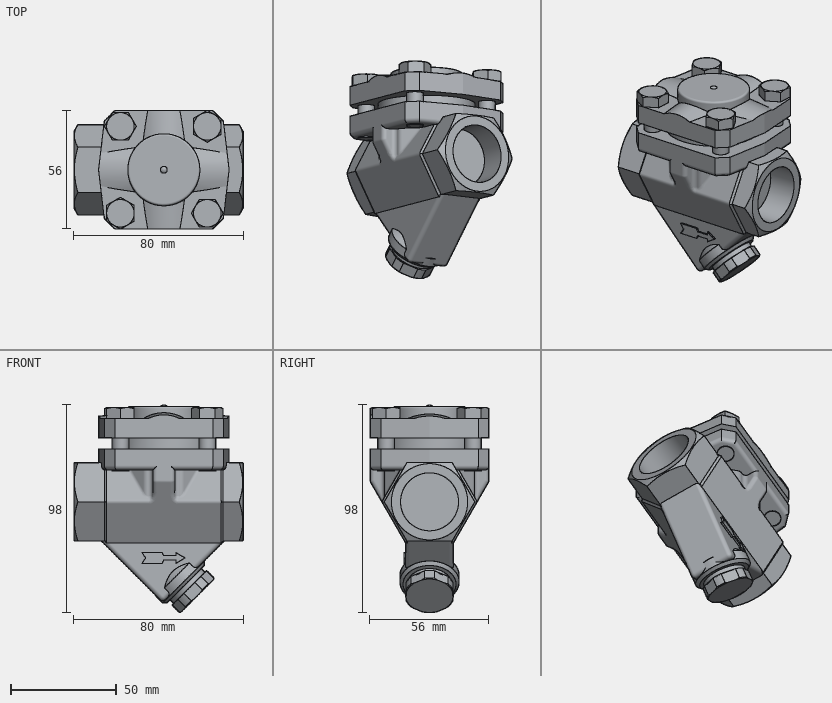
import cadquery as cq
import math


port_length = 80.0
port_center_x = -2.5
port_flats = 37.0
port_chamfer_angle = 30.0
port_face_dia = 36.0
bore_dia = 27.4
bore_depth = 14.0
body_flats = 39.0
body_half_length = 28.0
body_end_taper = 1.0

flange_half_x = 30.8
flange_corner_x = 28.1
flange_half_y = 28.0
flange_corner_cut = 5.0
body_flange_bottom = 15.0
body_flange_top = 25.0
cover_bottom = 30.2
cover_top = 39.2
spigot_dia = 45.8

web_half_width = 5.2
neck_diagonal = 30.0
neck_half_width = 21.3
neck_corner_radius = 3.0
web_root_radius = 2.1
casting_radius = 2.0

boss_dia = 34.0
boss_top = 45.0
boss_edge_radius = 1.0
nub_radius = 2.2
nub_top = 45.7
ridge_x_radius = 23.4
ridge_x_rise = 1.2
ridge_x_slope = 4.0
ridge_y_radius = 16.7
ridge_y_rise = 1.75
ridge_y_slope = 5.4

bolt_spacing = 41.0
bolt_dia = 8.0
bolt_bottom = 14.5
bolt_head_flats = 13.0
bolt_head_height = 5.3
bolt_chamfer_angle = 30.0

leg_left_offset = 48.0
leg_right_offset = 47.0
leg_top = -18.5

plug_axis_offset = -20.2
strainer_boss_dia = 28.0
strainer_boss_back = 25.0
strainer_boss_shoulder = 28.9
strainer_boss_face = 34.8
strainer_boss_chamfer = 1.5
plug_collar_dia = 21.0
plug_head_start = 37.2
plug_head_end = 42.56
plug_head_flats = 22.0
plug_head_round_dia = 23.2
plug_head_chamfer = 0.4

arrow_tail = -10.3
arrow_notch = -8.6
arrow_body_end = -0.8
arrow_shaft_start = -0.1
arrow_head_start = 5.75
arrow_tip = 10.0
arrow_center_z = -26.5
arrow_half_height = 2.55
arrow_shaft_half_height = 1.05
arrow_relief = 0.85

tolerance = 0.01

body_corner_y = body_flats / math.sqrt(3)
body_flat_half_width = body_corner_y / 2


def hex_corner_dia(flats):
    return flats / math.cos(math.radians(30))


def hex_along_x(flats, start, length):
    """Hexagonal bar along X with flats at the top and bottom."""
    return cq.Workplane("YZ", origin=(start, 0, 0)).polygon(6, hex_corner_dia(flats)).extrude(length)


def revolve_about_z(profile):
    """Turn a closed (radius, z) profile about the Z axis."""
    return cq.Workplane("XZ").polyline(profile).close().revolve(360, (0, 0, 0), (0, 1, 0))


def make_ports():
    half = port_length / 2
    corner = hex_corner_dia(port_flats) / 2
    face = port_face_dia / 2
    chamfer = (corner - face) * math.tan(math.radians(port_chamfer_angle))
    envelope = revolve_about_z([
        (0, -half), (face, -half), (corner, chamfer - half),
        (corner, half - chamfer), (face, half), (0, half),
    ]).rotate((0, 0, 0), (0, 1, 0), 90)
    bar = hex_along_x(port_flats, -half, port_length)
    return bar.intersect(envelope).translate((port_center_x, 0, 0))


def make_body_hexagon():
    straight_half = body_half_length - body_end_taper
    body = hex_along_x(body_flats, -straight_half, 2 * straight_half)
    for side in (-1, 1):
        end = (
            cq.Workplane("YZ", origin=(side * straight_half, 0, 0))
            .polygon(6, hex_corner_dia(body_flats))
            .workplane(offset=side * body_end_taper)
            .polygon(6, hex_corner_dia(port_flats))
            .loft(ruled=True)
        )
        body = body.union(end)
    return body


def make_bores():
    half = port_length / 2
    bore = cq.Workplane("YZ", origin=(-half, 0, 0)).circle(bore_dia / 2).extrude(bore_depth)
    bores = bore.union(bore.mirror("YZ"))
    return bores.translate((port_center_x, 0, 0))


def flange_plate(bottom, top):
    cut_x = flange_corner_x - flange_corner_cut
    cut_y = flange_half_y - flange_corner_cut
    outline = [
        (flange_half_x, 0), (flange_corner_x, cut_y), (cut_x, flange_half_y),
        (-cut_x, flange_half_y), (-flange_corner_x, cut_y), (-flange_half_x, 0),
        (-flange_corner_x, -cut_y), (-cut_x, -flange_half_y),
        (cut_x, -flange_half_y), (flange_corner_x, -cut_y),
    ]
    return cq.Workplane("XY", origin=(0, 0, bottom)).polyline(outline).close().extrude(top - bottom)


def make_webs():
    """Cross web whose undersides continue the lower slanted faces of the body hexagon."""
    toe_z = (flange_half_y - body_corner_y) * math.tan(math.radians(60))
    section = [
        (-flange_half_y, body_flange_top), (flange_half_y, body_flange_top),
        (flange_half_y, toe_z), (body_corner_y, 0),
        (-body_corner_y, 0), (-flange_half_y, toe_z),
    ]
    return (
        cq.Workplane("YZ", origin=(-web_half_width, 0, 0))
        .polyline(section).close().extrude(2 * web_half_width)
    )


def make_neck():
    """Octagonal neck: a square turned 45 degrees with its corners cut off."""
    short = neck_diagonal - neck_half_width
    outline = [
        (neck_half_width, short), (short, neck_half_width),
        (-short, neck_half_width), (-neck_half_width, short),
        (-neck_half_width, -short), (-short, -neck_half_width),
        (short, -neck_half_width), (neck_half_width, -short),
    ]
    neck = cq.Workplane("XY").polyline(outline).close().extrude(body_flange_top)
    return neck.edges("|Z").fillet(neck_corner_radius)


def is_web_root(edge):
    """True for the upright inside corners between the webs and the neck."""
    center = edge.Center()
    on_web_side = abs(abs(center.x) - web_half_width) < tolerance
    return on_web_side and abs(abs(center.y) - neck_half_width) < tolerance


def is_on_upper_slant(point):
    """True on the planes of the two upper slanted faces of the body hexagon."""
    slant = math.radians(60)
    distance = abs(point.y) * math.sin(slant) + point.z * math.cos(slant)
    return abs(distance - body_flats / 2) < tolerance


def is_pocket_floor(edge):
    """True where the neck and webs meet the slanted faces of the body hexagon."""
    ends = [edge.startPoint(), edge.endPoint()]
    on_slant = all(is_on_upper_slant(point) and abs(point.x) < neck_half_width for point in ends)
    return on_slant and tolerance < edge.Center().z < body_flange_bottom - tolerance


def is_casting_edge(edge):
    """True for the lower rim of the flange and the outer edges of the web toes."""
    center = edge.Center()
    reach_y = max(abs(edge.startPoint().y), abs(edge.endPoint().y))
    on_long_side = reach_y > flange_half_y - tolerance
    if abs(center.z - body_flange_bottom) < tolerance:
        on_web_side = abs(abs(center.x) - web_half_width) < tolerance
        on_short_side = abs(center.x) > body_half_length + tolerance
        return (on_long_side or on_short_side) and not on_web_side
    return on_long_side and center.z < body_flange_bottom


def make_casting():
    """Body hexagon, neck, webs and lower flange with their rounded corners."""
    flange = flange_plate(body_flange_bottom, body_flange_top).union(make_webs())
    casting = make_body_hexagon().union(make_neck()).union(flange)
    casting = casting.edges("|Z").filter(is_web_root).fillet(web_root_radius)
    casting = casting.edges().filter(is_pocket_floor).fillet(casting_radius)
    return casting.edges().filter(is_casting_edge).fillet(casting_radius)


def ridge(radius, rise, slope, rim):
    """Round ridge along +X, standing `rise` above the cover at `rim` and climbing inward."""
    axis_z = cover_top + rise - radius
    return (
        cq.Workplane("YZ", origin=(rim, 0, axis_z))
        .circle(radius).extrude(-rim)
        .rotate((rim, 0, axis_z), (rim, 1, axis_z), slope)
    )


def make_ridges():
    ridge_x = ridge(ridge_x_radius, ridge_x_rise, ridge_x_slope, flange_half_x)
    ridge_y = ridge(ridge_y_radius, ridge_y_rise, ridge_y_slope, flange_half_y)
    ridge_y = ridge_y.rotate((0, 0, 0), (0, 0, 1), 90)
    ridges = ridge_x.union(ridge_x.mirror("YZ")).union(ridge_y).union(ridge_y.mirror("XZ"))
    return ridges.intersect(flange_plate(cover_bottom, boss_top))


def make_cover():
    cover = flange_plate(cover_bottom, cover_top).union(make_ridges())
    boss_height = boss_top - cover_bottom
    boss = cq.Workplane("XY", origin=(0, 0, cover_bottom)).circle(boss_dia / 2).extrude(boss_height)
    boss = boss.faces(">Z").edges().fillet(boss_edge_radius)
    nub = cq.Workplane("XY").sphere(nub_radius).translate((0, 0, nub_top - nub_radius))
    spigot_length = cover_bottom - body_flange_top
    spigot = cq.Workplane("XY", origin=(0, 0, body_flange_top)).circle(spigot_dia / 2).extrude(spigot_length)
    return cover.union(boss).union(nub).union(spigot)


def make_bolt():
    corner = hex_corner_dia(bolt_head_flats) / 2
    flat = bolt_head_flats / 2
    head_top = cover_top + bolt_head_height
    drop = (corner - flat) * math.tan(math.radians(bolt_chamfer_angle))
    head = cq.Workplane("XY", origin=(0, 0, cover_top)).polygon(6, 2 * corner).extrude(bolt_head_height)
    envelope = revolve_about_z([
        (0, cover_top), (corner, cover_top), (corner, head_top - drop), (flat, head_top), (0, head_top),
    ])
    shank_length = cover_top - bolt_bottom
    shank = cq.Workplane("XY", origin=(0, 0, bolt_bottom)).circle(bolt_dia / 2).extrude(shank_length)
    return head.intersect(envelope).union(shank)


def make_bolts():
    """Four bolts, each turned 90 degrees from its neighbour."""
    bolts = cq.Workplane("XY")
    for quarter in range(4):
        bolt = make_bolt().translate((bolt_spacing / 2, -bolt_spacing / 2, 0))
        bolts = bolts.union(bolt.rotate((0, 0, 0), (0, 0, 1), 90 * quarter))
    return bolts


def make_leg():
    """V-shaped strainer leg with rounded lower edges."""
    tip_x = (leg_right_offset - leg_left_offset) / 2
    tip_z = -(leg_right_offset + leg_left_offset) / 2
    leg = (
        cq.Workplane("XZ", origin=(0, body_flat_half_width, 0))
        .moveTo(-leg_left_offset - leg_top, leg_top)
        .lineTo(tip_x, tip_z)
        .lineTo(leg_right_offset + leg_top, leg_top)
        .close().extrude(2 * body_flat_half_width)
    )
    leg = leg.edges("|Y").edges("<Z").fillet(casting_radius)
    side_edges = leg.faces("<Y or >Y").edges()
    return side_edges.filter(lambda edge: edge.Center().z < leg_top - tolerance).fillet(casting_radius)


def place_on_plug_axis(shape):
    """Move a shape built along Z onto the plug axis, which points 45 degrees down toward +X."""
    shift = plug_axis_offset / math.sqrt(2)
    return shape.rotate((0, 0, 0), (0, 1, 0), 135).translate((shift, 0, shift))


def make_strainer_plug():
    boss = strainer_boss_dia / 2
    collar = plug_collar_dia / 2
    back_radius = boss - (strainer_boss_shoulder - strainer_boss_back)
    body = revolve_about_z([
        (0, strainer_boss_back), (back_radius, strainer_boss_back), (boss, strainer_boss_shoulder),
        (boss, strainer_boss_face - strainer_boss_chamfer), (boss - strainer_boss_chamfer, strainer_boss_face),
        (collar, strainer_boss_face), (collar, plug_head_start), (0, plug_head_start),
    ])
    head_height = plug_head_end - plug_head_start
    start = cq.Workplane("XY", origin=(0, 0, plug_head_start))
    head = start.polygon(6, hex_corner_dia(plug_head_flats)).extrude(head_height)
    rounding = start.circle(plug_head_round_dia / 2).extrude(head_height)
    rounding = rounding.faces(">Z").chamfer(plug_head_chamfer)
    return place_on_plug_axis(body.union(head.intersect(rounding)))


def make_arrow():
    outer = arrow_half_height
    shaft = arrow_shaft_half_height
    outline = [
        (arrow_tail, outer), (arrow_body_end, outer), (arrow_shaft_start, shaft), (arrow_head_start, shaft),
        (arrow_head_start, outer), (arrow_tip, 0), (arrow_head_start, -outer),
        (arrow_head_start, -shaft), (arrow_shaft_start, -shaft), (arrow_body_end, -outer),
        (arrow_tail, -outer), (arrow_notch, 0),
    ]
    plane = cq.Workplane("XZ", origin=(0, -body_flat_half_width, arrow_center_z))
    return plane.polyline(outline).close().extrude(arrow_relief)


result = (
    make_casting()
    .union(make_ports())
    .union(make_leg())
    .union(make_strainer_plug())
    .union(make_arrow())
    .union(make_cover())
    .union(make_bolts())
    .cut(make_bores())
)